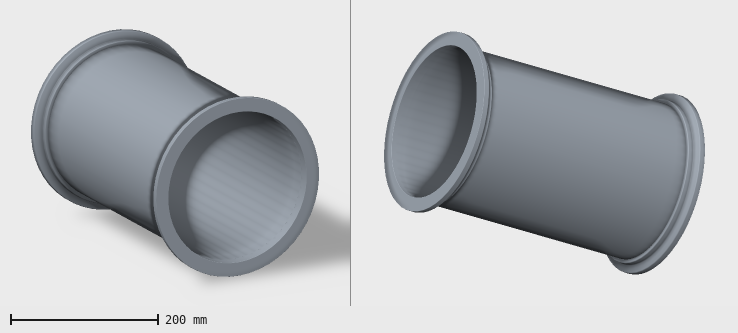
import cadquery as cq
import math

total_length = 356.0

pipe_outer_radius = 219.1 / 2
bore_radius = 213.0 / 2

rim_radius = 252.0 / 2
hub_radius = 230.0 / 2
rim_width = 8.0
cone_angle = math.radians(20.0)
ferrule_length = 20.0
socket_depth = 5.0

face_round = 0.5
cone_round = 1.5
hub_round = 1.2

cone_end = rim_width + (rim_radius - hub_radius) * math.tan(cone_angle)
seat_position = ferrule_length - socket_depth
pipe_length = total_length - 2 * seat_position


def make_pipe():
    """Plain tube that runs between the two socket seats."""
    return (
        cq.Workplane("YZ")
        .workplane(offset=-pipe_length / 2)
        .circle(pipe_outer_radius)
        .circle(bore_radius)
        .extrude(pipe_length)
    )


def make_ferrule():
    """Clamp ferrule with its sealing face at the origin, reaching along +X."""
    corners = [
        (0, bore_radius),
        (0, rim_radius),
        (rim_width, rim_radius),
        (cone_end, hub_radius),
        (ferrule_length, hub_radius),
        (ferrule_length, pipe_outer_radius),
        (seat_position, pipe_outer_radius),
        (seat_position, bore_radius),
    ]
    corner_rounds = [
        (0, bore_radius, face_round),
        (0, rim_radius, face_round),
        (rim_width, rim_radius, cone_round),
        (cone_end, hub_radius, cone_round),
        (ferrule_length, hub_radius, hub_round),
    ]
    section = cq.Sketch().polygon([*corners, corners[0]])
    for position, radius, round_radius in corner_rounds:
        corner = cq.selectors.NearestToPointSelector((position, radius, 0))
        section = section.vertices(corner).fillet(round_radius).reset()
    return cq.Workplane("XY").placeSketch(section).revolve(360, (0, 0, 0), (1, 0, 0))


pipe = make_pipe()

ferrules = []
for turn in (0, 180):
    ferrule = make_ferrule().translate((-total_length / 2, 0, 0))
    ferrules.append(ferrule.rotate((0, 0, 0), (0, 0, 1), turn).val())

result = cq.Compound.makeCompound([pipe.val(), *ferrules])